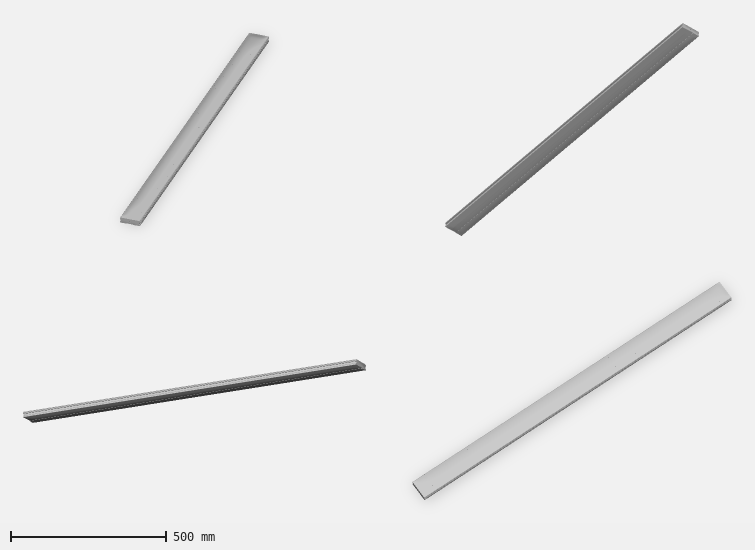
import cadquery as cq

rail_width = 69.0
rail_length = 1210.0
rail_height = 19.0
half_width = rail_width / 2

top_chamfer = 2.2
ball_groove_top = 15.8
ball_groove_bottom = 11.8
ball_groove_depth = 1.5
waist_depth = 3.0
waist_bottom = 6.2
foot_height = 3.9
bottom_chamfer = 0.8

relief_width = 21.0
relief_depth = 1.0

recess_pitch = 80.0
recess_count = 15
row_spacing = 40.0
recess_diameter = 11.0
recess_depth = 0.1

end_hole_diameter = 5.0
end_hole_depth = 12.0
end_hole_height = rail_height / 2


def half_rail():
    """Right-hand half of the rail, from the middle plane X = 0 outward."""
    relief_edge = relief_width / 2
    waist_x = half_width - waist_depth
    ball_groove_middle = (ball_groove_top + ball_groove_bottom) / 2
    profile = (
        cq.Workplane("XZ")
        .moveTo(0, relief_depth)
        .lineTo(relief_edge, relief_depth)
        .lineTo(relief_edge, 0)
        .lineTo(half_width - bottom_chamfer, 0)
        .lineTo(half_width, bottom_chamfer)
        .lineTo(half_width, foot_height)
        .lineTo(waist_x, waist_bottom)
        .lineTo(waist_x, ball_groove_bottom)
        .lineTo(half_width, ball_groove_bottom)
        .threePointArc(
            (half_width - ball_groove_depth, ball_groove_middle),
            (half_width, ball_groove_top),
        )
        .lineTo(half_width, rail_height - top_chamfer)
        .lineTo(half_width - top_chamfer, rail_height)
        .lineTo(0, rail_height)
        .close()
    )
    return profile.extrude(rail_length / 2, both=True)


def rail_body():
    right_half = half_rail()
    return right_half.union(right_half.mirror("YZ")).clean()


def cut_mounting_recesses(body):
    recesses = (
        cq.Workplane("XY", origin=(0, 0, rail_height))
        .rarray(row_spacing, recess_pitch, 2, recess_count)
        .circle(recess_diameter / 2)
        .extrude(-recess_depth)
    )
    return body.cut(recesses)


def cut_end_hole(body):
    front_end = cq.Workplane("XZ", origin=(0, -rail_length / 2, end_hole_height))
    return body.cut(front_end.circle(end_hole_diameter / 2).extrude(-end_hole_depth))


result = cut_end_hole(cut_mounting_recesses(rail_body()))